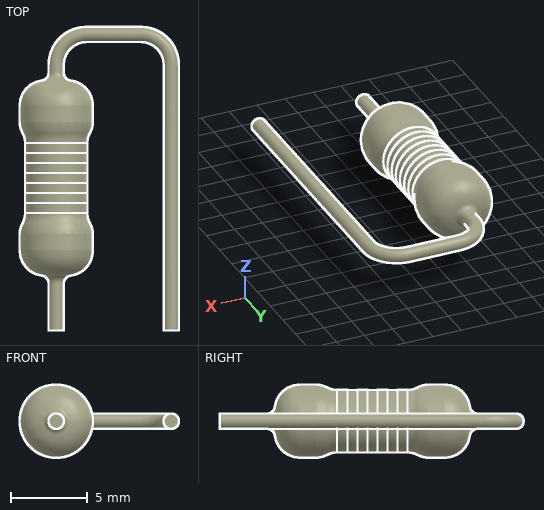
import cadquery as cq
import math

overall_length = 19.8
overall_width = 10.4
lead_radius = 1.0 / 2
bend_radius = 1.98

body_radius = 4.8 / 2
neck_radius = 4.08 / 2
band_radius = 4.1 / 2
body_length = 12.75
body_middle = 9.94
end_round = 1.66
cap_straight = 1.07
band_count = 4
band_width = 0.65
neck_length = (2 * band_count - 1) * band_width

lead_spacing = overall_width - body_radius - lead_radius
fold_y = overall_length - lead_radius

half_body = body_length / 2
round_start = half_body - end_round
shoulder_start = round_start - cap_straight
half_neck = neck_length / 2

fillet_height = 0.48
fillet_tip = half_body + fillet_height
round_center_x = body_radius - end_round
center_rise = fillet_tip - round_start
lead_offset = round_center_x - lead_radius
fillet_radius = (
    (lead_offset**2 + center_rise**2 - end_round**2) / (2 * (end_round + lead_offset))
)
fillet_center_x = lead_radius + fillet_radius


def on_arc(center_x, center_y, radius, angle):
    return (center_x + radius * math.cos(angle), center_y + radius * math.sin(angle))


def make_cap():
    """Revolved +Y cap, from the end of the neck to the lead fillet."""
    shoulder_rise = body_radius - neck_radius
    shoulder_run = shoulder_start - half_neck
    shoulder_middle = ((neck_radius + body_radius) / 2, (half_neck + shoulder_start) / 2)
    shoulder_radius = (shoulder_rise**2 + shoulder_run**2) / (4 * shoulder_rise)
    shoulder_angle = math.asin(shoulder_run / 2 / shoulder_radius)
    concave_middle = on_arc(
        neck_radius + shoulder_radius, half_neck, shoulder_radius, math.pi - shoulder_angle / 2
    )
    contact_angle = math.atan2(center_rise, fillet_center_x - round_center_x)
    contact = on_arc(round_center_x, round_start, end_round, contact_angle)
    round_middle = on_arc(round_center_x, round_start, end_round, contact_angle / 2)
    fillet_middle = on_arc(
        fillet_center_x, fillet_tip, fillet_radius, math.pi + contact_angle / 2
    )
    return (
        cq.Workplane("XY")
        .moveTo(neck_radius, half_neck)
        .threePointArc(concave_middle, shoulder_middle)
        .tangentArcPoint((body_radius, shoulder_start), relative=False)
        .lineTo(body_radius, round_start)
        .threePointArc(round_middle, contact)
        .threePointArc(fillet_middle, (lead_radius, fillet_tip))
        .lineTo(0, fillet_tip)
        .lineTo(0, half_neck)
        .close()
        .revolve(360, (0, 0, 0), (0, 1, 0))
    )


def make_body():
    cap = make_cap()
    neck = (
        cq.Workplane("XZ", origin=(0, -half_neck, 0))
        .circle(neck_radius)
        .extrude(-neck_length)
    )
    body = neck.union(cap).union(cap.mirror("XZ"))
    for index in range(band_count):
        band_start = -half_neck + 2 * index * band_width
        band = (
            cq.Workplane("XZ", origin=(0, band_start, 0))
            .circle(band_radius)
            .extrude(-band_width)
        )
        body = body.union(band)
    return body.translate((0, body_middle, 0))


def make_lead():
    bend_start_y = fold_y - bend_radius
    bend_inset = bend_radius * (1 - math.sqrt(0.5))
    path = (
        cq.Workplane("XY")
        .moveTo(0, 0)
        .lineTo(0, bend_start_y)
        .threePointArc((bend_inset, fold_y - bend_inset), (bend_radius, fold_y))
        .lineTo(lead_spacing - bend_radius, fold_y)
        .threePointArc(
            (lead_spacing - bend_inset, fold_y - bend_inset), (lead_spacing, bend_start_y)
        )
        .lineTo(lead_spacing, 0)
    )
    return cq.Workplane("XZ").circle(lead_radius).sweep(path)


result = make_body().union(make_lead())